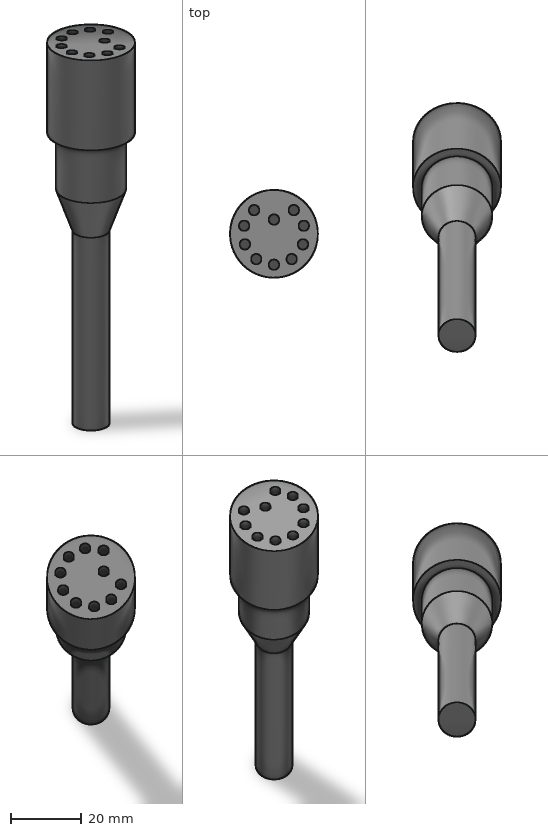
import cadquery as cq

total_length = 118.5
head_length = 28.0
collar_length = 17.5
taper_length = 12.9

head_diameter = 25.0
collar_diameter = 20.0
cable_diameter = 10.5

socket_diameter = 3.0
socket_depth = 10.0
socket_ring_radius = 8.8
ring_socket_count = 9
ring_socket_spacing = 35.0
inner_socket_y = 4.0

head_bottom = total_length - head_length
collar_bottom = head_bottom - collar_length
taper_bottom = collar_bottom - taper_length


def make_body():
    """Head, collar, taper and cable as one revolved half profile."""
    head_radius = head_diameter / 2
    collar_radius = collar_diameter / 2
    cable_radius = cable_diameter / 2
    half_profile = [
        (0, 0),
        (cable_radius, 0),
        (cable_radius, taper_bottom),
        (collar_radius, collar_bottom),
        (collar_radius, head_bottom),
        (head_radius, head_bottom),
        (head_radius, total_length),
        (0, total_length),
    ]
    profile = cq.Workplane("XZ").polyline(half_profile).close()
    return profile.revolve(360, (0, 0), (0, 1))


def make_sockets():
    """Blind sockets: an arc of nine centred on -Y, and one inside its gap."""
    ring_span = (ring_socket_count - 1) * ring_socket_spacing
    top_face = cq.Workplane("XY").workplane(offset=total_length)
    ring = (
        top_face
        .polarArray(socket_ring_radius, -90 - ring_span / 2, ring_span, ring_socket_count)
        .circle(socket_diameter / 2)
        .extrude(-socket_depth)
    )
    inner = (
        top_face
        .center(0, inner_socket_y)
        .circle(socket_diameter / 2)
        .extrude(-socket_depth)
    )
    return ring.add(inner).combine()


result = make_body().cut(make_sockets())